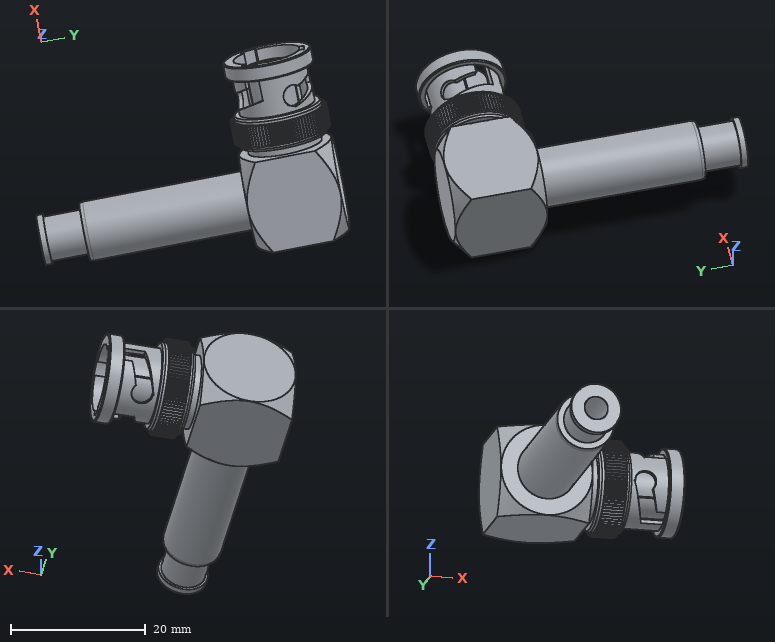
import cadquery as cq
import math


BLOCK_HALF = 7.0
BLOCK_FACE_RADIUS = 6.95
BLOCK_CHAMFER_ANGLE = 40.0
NECK_RADIUS = 5.55

COLLAR_START = 8.15
COLLAR_END = 13.05
COLLAR_RADIUS = 6.65
COLLAR_CHAMFER_LENGTH = 0.35
COLLAR_CHAMFER_DEPTH = 0.2
KNURL_START = 8.95
KNURL_END = 12.25
KNURL_RADIUS = 7.25
KNURL_DEPTH = 0.35
KNURL_TEETH = 88
KNURL_CREST_SHARE = 0.3
SLEEVE_RADIUS = 5.7
SLEEVE_BORE_RADIUS = 5.0
FLANGE_START = 18.85
SLEEVE_END = 21.2
FLANGE_CHAMFER = 0.2

SLOT_COUNT = 3
SLOT_SPACING = 360.0 / SLOT_COUNT
SEAT_X = 15.4
SEAT_ANGLE = 61.0
SEAT_RADIUS = 1.6
ENTRY_START_ANGLE = 108.4
ENTRY_END_ANGLE = 133.0
RAMP_LEAD = 9.55
RAMP_WIDTH = 2.6
RAMP_CORNER_X = 15.6
CUT_MARGIN = 0.45
SLOT_CUT_INNER_RADIUS = SLEEVE_BORE_RADIUS - CUT_MARGIN
SLOT_CUT_OUTER_RADIUS = SLEEVE_RADIUS + CUT_MARGIN

CONTACT_RADIUS = 3.9
CONTACT_BORE_RADIUS = 3.0
CONTACT_END = 19.55
SLIT_WIDTH = 0.2
SLIT_COUNT = 3
SLIT_FIRST_ANGLE = 90.0

FERRULE_RADIUS = 4.45
FERRULE_END = 31.65
FERRULE_CHAMFER_LENGTH = 0.55
FERRULE_CHAMFER_DEPTH = 0.15
STEM_RADIUS = 3.35
OVERALL_LENGTH = 45.45
STEM_END = OVERALL_LENGTH - KNURL_RADIUS
STEM_FLANGE_RADIUS = 3.77
STEM_FLANGE_THICKNESS = 1.0
STEM_BORE_RADIUS = 1.77


def disc_x(radius, start, end):
    """Cylinder on the coupling axis between two X positions."""
    return cq.Workplane("YZ").workplane(offset=start).circle(radius).extrude(end - start)


def tube_x(outer_radius, inner_radius, start, end):
    """Tube on the coupling axis between two X positions."""
    return disc_x(outer_radius, start, end).cut(disc_x(inner_radius, start, end))


def turn_about_x(body, angle):
    return body.rotate((0, 0, 0), (1, 0, 0), angle)


def polar(radius, angle):
    a = math.radians(angle)
    return (radius * math.cos(a), radius * math.sin(a))


def sector_sketch(start_x, start_angle, end_angle):
    """Ring sector, spanning the sleeve wall, drawn on the plane X = start_x."""
    inner, outer = SLOT_CUT_INNER_RADIUS, SLOT_CUT_OUTER_RADIUS
    middle = (start_angle + end_angle) / 2
    return (
        cq.Workplane("YZ")
        .workplane(offset=start_x)
        .moveTo(*polar(inner, start_angle))
        .lineTo(*polar(outer, start_angle))
        .threePointArc(polar(outer, middle), polar(outer, end_angle))
        .lineTo(*polar(inner, end_angle))
        .threePointArc(polar(inner, middle), polar(inner, start_angle))
        .close()
    )


def make_block():
    """Cube whose corners are cut by a cone at each end of the cable axis."""
    cube = cq.Workplane("XY").box(2 * BLOCK_HALF, 2 * BLOCK_HALF, 2 * BLOCK_HALF)
    waist_radius = BLOCK_FACE_RADIUS + BLOCK_HALF / math.tan(math.radians(BLOCK_CHAMFER_ANGLE))
    double_cone = (
        cq.Workplane("XY")
        .polyline([
            (0, -BLOCK_HALF),
            (BLOCK_FACE_RADIUS, -BLOCK_HALF),
            (waist_radius, 0),
            (BLOCK_FACE_RADIUS, BLOCK_HALF),
            (0, BLOCK_HALF),
        ])
        .close()
        .revolve(360, (0, 0, 0), (0, 1, 0))
    )
    return cube.intersect(double_cone)


def make_contact():
    """Tube on the coupling axis, split lengthwise into springy segments."""
    contact = disc_x(CONTACT_RADIUS, COLLAR_START, CONTACT_END)
    contact = contact.cut(disc_x(CONTACT_BORE_RADIUS, COLLAR_END, CONTACT_END))
    slit = cq.Workplane("XY").box(
        CONTACT_END - COLLAR_END, CONTACT_RADIUS + CUT_MARGIN, SLIT_WIDTH, centered=(False, False, True)
    ).translate((COLLAR_END, 0, 0))
    for i in range(SLIT_COUNT):
        contact = contact.cut(turn_about_x(slit, SLIT_FIRST_ANGLE + i * 360.0 / SLIT_COUNT))
    return contact


def make_housing():
    neck = disc_x(NECK_RADIUS, 0, COLLAR_START)
    return make_block().union(neck).union(make_contact())


def make_slot():
    """Cutters for the seat, ramp and entry channel of one bayonet slot."""
    seat = turn_about_x(
        cq.Workplane("XZ", origin=(SEAT_X, 0, 0)).circle(SEAT_RADIUS).extrude(-SLOT_CUT_OUTER_RADIUS),
        SEAT_ANGLE,
    )

    degrees_per_unit = 360.0 / RAMP_LEAD
    ramp_start = COLLAR_END
    ramp_length = FLANGE_START - ramp_start
    rear_angle = ENTRY_END_ANGLE - (RAMP_CORNER_X - ramp_start) * degrees_per_unit
    front_angle = rear_angle - RAMP_WIDTH * degrees_per_unit
    band = sector_sketch(ramp_start, front_angle, rear_angle).twistExtrude(
        ramp_length, ramp_length * degrees_per_unit
    )
    ramp_span = sector_sketch(ramp_start, SEAT_ANGLE, ENTRY_END_ANGLE).extrude(ramp_length)
    ramp = band.intersect(ramp_span)

    entry_start = RAMP_CORNER_X + RAMP_WIDTH / 2
    entry = sector_sketch(entry_start, ENTRY_START_ANGLE, ENTRY_END_ANGLE).extrude(
        SLEEVE_END - entry_start
    )
    return [seat, ramp, entry]


def make_collar():
    """Stepped collar with chamfered rims and a straight-knurled band."""
    rim = COLLAR_RADIUS - COLLAR_CHAMFER_DEPTH
    collar = (
        cq.Workplane("XY")
        .polyline([
            (COLLAR_START, 0),
            (COLLAR_START, rim),
            (COLLAR_START + COLLAR_CHAMFER_LENGTH, COLLAR_RADIUS),
            (COLLAR_END - COLLAR_CHAMFER_LENGTH, COLLAR_RADIUS),
            (COLLAR_END, rim),
            (COLLAR_END, 0),
        ])
        .close()
        .revolve(360, (0, 0, 0), (1, 0, 0))
    )
    pitch = 360.0 / KNURL_TEETH
    half_crest = KNURL_CREST_SHARE * pitch / 2
    teeth = []
    for i in range(KNURL_TEETH):
        tooth_angle = i * pitch
        teeth.append(polar(KNURL_RADIUS, tooth_angle - half_crest))
        teeth.append(polar(KNURL_RADIUS, tooth_angle + half_crest))
        teeth.append(polar(KNURL_RADIUS - KNURL_DEPTH, tooth_angle + pitch / 2))
    knurl = (
        cq.Workplane("YZ")
        .workplane(offset=KNURL_START)
        .polyline(teeth)
        .close()
        .extrude(KNURL_END - KNURL_START)
    )
    return collar.union(knurl).cut(disc_x(CONTACT_RADIUS, COLLAR_START, COLLAR_END))


def make_flange():
    """End ring around the sleeve; it closes the outer side of the entry channels."""
    ring = disc_x(COLLAR_RADIUS, FLANGE_START, SLEEVE_END).edges().chamfer(FLANGE_CHAMFER)
    return ring.cut(disc_x(SLEEVE_RADIUS, FLANGE_START, SLEEVE_END))


def make_sleeve():
    wall = tube_x(SLEEVE_RADIUS, SLEEVE_BORE_RADIUS, COLLAR_END, SLEEVE_END)
    slot_parts = make_slot()
    for i in range(SLOT_COUNT):
        for cutter in slot_parts:
            wall = wall.cut(turn_about_x(cutter, i * SLOT_SPACING))
    return make_collar().union(wall).union(make_flange())


def revolve_about_y(profile):
    """Revolve (radius, distance from the origin toward -Y) points about the cable axis."""
    points = [(radius, -distance) for radius, distance in profile]
    return cq.Workplane("XY").polyline(points).close().revolve(360, (0, 0, 0), (0, 1, 0))


def make_ferrule():
    return revolve_about_y([
        (STEM_RADIUS, BLOCK_HALF),
        (FERRULE_RADIUS, BLOCK_HALF),
        (FERRULE_RADIUS, FERRULE_END - FERRULE_CHAMFER_LENGTH),
        (FERRULE_RADIUS - FERRULE_CHAMFER_DEPTH, FERRULE_END),
        (STEM_RADIUS, FERRULE_END),
    ])


def make_stem():
    return revolve_about_y([
        (STEM_BORE_RADIUS, BLOCK_HALF),
        (STEM_RADIUS, BLOCK_HALF),
        (STEM_RADIUS, STEM_END - STEM_FLANGE_THICKNESS),
        (STEM_FLANGE_RADIUS, STEM_END - STEM_FLANGE_THICKNESS),
        (STEM_FLANGE_RADIUS, STEM_END),
        (STEM_BORE_RADIUS, STEM_END),
    ])


housing = make_housing()
sleeve = make_sleeve()
ferrule = make_ferrule()
stem = make_stem()

result = cq.Compound.makeCompound([housing.val(), sleeve.val(), ferrule.val(), stem.val()])